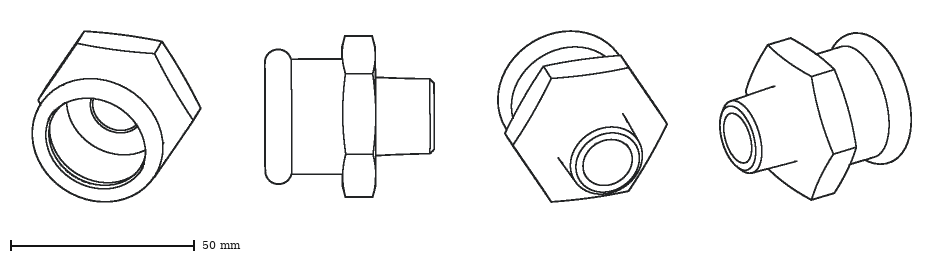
import cadquery as cq
import math


total_length = 46.0
hex_start = 21.0
hex_width = 9.0
hex_end = hex_start + hex_width
neck_length = 1.0
taper_start = hex_end + neck_length

across_flats = 38.0
across_corners = across_flats / math.cos(math.radians(30))
hex_chamfer_angle = 15.0
root_fillet = 0.3

body_radius = 31.4 / 2
bead_radius = 3.65
bead_centre_radius = 14.7

mouth_radius = 28.8 / 2
pipe_radius = 28.4 / 2
lip_fillet = 0.65
lip_radius = mouth_radius + lip_fillet
step_end = 7.45
step_arc_radius = 2.0
socket_depth = 23.0

bead_centre_y = math.sqrt(bead_radius**2 - (lip_radius - bead_centre_radius) ** 2)

seal_section_radius = 0.8
seal_centre_radius = 14.6
seal_half_width = math.sqrt(seal_section_radius**2 - (seal_centre_radius - mouth_radius) ** 2)

thread_radius = 21.3 / 2
taper_per_radius = 1 / 32
thread_chamfer = 1.2
taper_end = total_length - thread_chamfer
thread_tip_radius = thread_radius - (taper_end - taper_start) * taper_per_radius

bore_radius = 14.0 / 2
bore_chamfer = 0.5


def revolve_about_axis(profile):
    return profile.close().revolve(360, (0, 0, 0), (0, 1, 0))


def fillet_middle(corner, radius, x_side, y_side):
    """Midpoint of a quarter fillet; the sides point from the sharp corner to the arc centre."""
    reach = radius * (1 - math.sqrt(0.5))
    return (corner[0] + x_side * reach, corner[1] + y_side * reach)


def make_outer_turning():
    """Solid of bead, body, core and threaded end."""
    bead_end = bead_centre_y + math.sqrt(bead_radius**2 - (body_radius - bead_centre_radius) ** 2)
    return revolve_about_axis(
        cq.Workplane("XY")
        .lineTo(lip_radius, 0)
        .threePointArc((bead_centre_radius + bead_radius, bead_centre_y), (body_radius, bead_end))
        .lineTo(body_radius, hex_start - root_fillet)
        .threePointArc(
            fillet_middle((body_radius, hex_start), root_fillet, 1, -1),
            (body_radius + root_fillet, hex_start),
        )
        .lineTo(body_radius + root_fillet, hex_end)
        .lineTo(thread_radius + root_fillet, hex_end)
        .threePointArc(
            fillet_middle((thread_radius, hex_end), root_fillet, 1, 1),
            (thread_radius, hex_end + root_fillet),
        )
        .lineTo(thread_radius, taper_start)
        .lineTo(thread_tip_radius, taper_end)
        .lineTo(thread_tip_radius - thread_chamfer, total_length)
        .lineTo(0, total_length)
    )


def make_hexagon():
    """Hexagon with corners on the X axis and both faces chamfered by a shallow cone."""
    prism = (
        cq.Workplane("XZ", origin=(0, hex_start, 0))
        .polygon(6, across_corners)
        .extrude(-hex_width)
    )
    face_radius = across_flats / 2
    rim_radius = across_corners / 2
    drop = (rim_radius - face_radius) * math.tan(math.radians(hex_chamfer_angle))
    envelope = revolve_about_axis(
        cq.Workplane("XY")
        .moveTo(0, hex_start)
        .lineTo(face_radius, hex_start)
        .lineTo(rim_radius, hex_start + drop)
        .lineTo(rim_radius, hex_end - drop)
        .lineTo(face_radius, hex_end)
        .lineTo(0, hex_end)
    )
    return prism.intersect(envelope)


def make_cavity():
    """Socket with rounded lip, seal ring and rounded step, plus the through bore."""
    step_drop = mouth_radius - pipe_radius
    step_sweep = math.acos(1 - step_drop / step_arc_radius)
    step_start = step_end - step_arc_radius * math.sin(step_sweep)
    step_middle = (
        pipe_radius + step_arc_radius * (1 - math.cos(step_sweep / 2)),
        step_end - step_arc_radius * math.sin(step_sweep / 2),
    )
    return revolve_about_axis(
        cq.Workplane("XY")
        .lineTo(lip_radius, 0)
        .threePointArc(
            fillet_middle((mouth_radius, 0), lip_fillet, 1, 1),
            (mouth_radius, lip_fillet),
        )
        .lineTo(mouth_radius, bead_centre_y - seal_half_width)
        .threePointArc(
            (seal_centre_radius - seal_section_radius, bead_centre_y),
            (mouth_radius, bead_centre_y + seal_half_width),
        )
        .lineTo(mouth_radius, step_start)
        .threePointArc(step_middle, (pipe_radius, step_end))
        .lineTo(pipe_radius, socket_depth)
        .lineTo(bore_radius + bore_chamfer, socket_depth)
        .lineTo(bore_radius, socket_depth + bore_chamfer)
        .lineTo(bore_radius, total_length)
        .lineTo(0, total_length)
    )


result = make_outer_turning().union(make_hexagon()).cut(make_cavity())